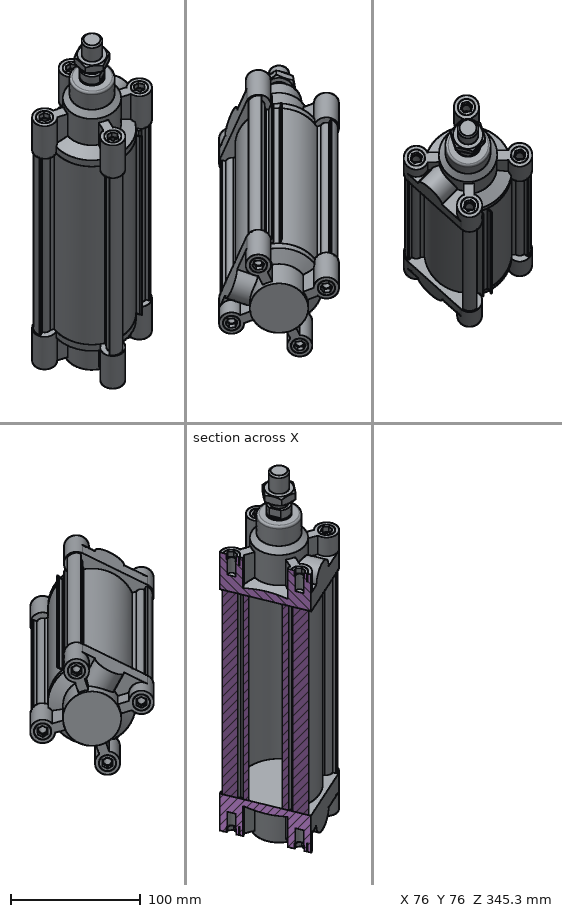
import cadquery as cq
import math

tip_z = 345.3
rear_screw_face_z = 3.9
front_screw_face_z = 275.2
corner_length = 36.4
nut_bottom_z = 319.8
shoulder_z = 313.7
front_hub_shoulder_z = 280.0
collar_top_z = 304.0

overall_width = 76.0
corner_diameter = 19.5
corner_offset = (overall_width - corner_diameter) / 2
screw_head_diameter = 13.0
screw_recess_diameter = 13.5
screw_recess_depth = 8.0
socket_across_flats = 8.0
socket_depth = 5.0
screw_bore_diameter = 6.75
screw_bore_depth = 20.0

hub_diameter = 45.0
collar_diameter = 35.0
collar_rounding = 2.0
flange_diameter = 68.0
flange_rim_height = 7.0
flange_cone_rise = 4.75
rib_width = 8.0
port_boss_diameter = 25.5
port_boss_offset = 4.5

bore_diameter = 63.0
post_diameter = 10.0
post_lip_radius = 8.75
post_lip_chamfer = 1.0

lower_lip_y = 11.6
lip_thickness = 0.6
hook_tip_x = -36.8
hook_length = 1.2
hook_height = 1.2
upper_lip_y = 17.0
upper_lip_top_y = 19.4
upper_bevel_x = -32.0
upper_tip_x = -33.8

rod_diameter = 20.0
rod_end_diameter = 19.5
rod_step_z = 304.6
rod_step_length = 0.5
rod_across_flats = 17.0
rod_flat_length = 7.5
thread_diameter = 16.0
thread_chamfer = 1.5
undercut_diameter = 14.5
undercut_length = 3.2
nut_across_flats = 24.0
nut_face_diameter = 23.0
nut_height = 8.7
nut_chamfer_angle = 30.0

barrel_bottom_z = rear_screw_face_z + corner_length
barrel_top_z = front_screw_face_z - corner_length
barrel_length = barrel_top_z - barrel_bottom_z
rear_hub_length = barrel_bottom_z
front_hub_length = front_hub_shoulder_z - barrel_top_z
corners = [(sx * corner_offset, sy * corner_offset) for sx in (-1, 1) for sy in (-1, 1)]


def cylinder(diameter, height, bottom=0.0):
    return cq.Workplane("XY").workplane(offset=bottom).circle(diameter / 2).extrude(height)


def radial_webs(width, height):
    """Two crossed diagonal bars that reach the four corner centres."""
    span = 2 * corner_offset * math.sqrt(2)
    bar = cq.Workplane("XY").rect(span, width).extrude(height)
    webs = bar.rotate((0, 0, 0), (0, 0, 1), 45)
    return webs.union(bar.rotate((0, 0, 0), (0, 0, 1), -45))


def screw_cut():
    """Gap around a cap screw head, its hexagon socket and its bore, with the head face at Z = 0."""
    gap = (
        cq.Workplane("XY")
        .circle(screw_recess_diameter / 2)
        .circle(screw_head_diameter / 2)
        .extrude(-screw_recess_depth)
    )
    socket_corners = socket_across_flats / math.cos(math.pi / 6)
    socket = cq.Workplane("XY").polygon(6, socket_corners).extrude(-socket_depth)
    bore = cq.Workplane("XY").circle(screw_bore_diameter / 2).extrude(-screw_bore_depth)
    return gap.union(socket).union(bore)


def end_cap(hub_length):
    """Cap with its barrel face at Z = 0 and its hub pointing up."""
    flange_radius = flange_diameter / 2
    hub_radius = hub_diameter / 2
    body = (
        cq.Workplane("XZ")
        .polyline(
            [
                (0, 0),
                (flange_radius, 0),
                (flange_radius, flange_rim_height),
                (hub_radius, flange_rim_height + flange_cone_rise),
                (hub_radius, hub_length),
                (0, hub_length),
            ]
        )
        .close()
        .revolve()
    )
    columns = cq.Workplane("XY").pushPoints(corners).circle(corner_diameter / 2).extrude(corner_length)
    port_pad = (
        cq.Workplane("XY")
        .polyline(
            [
                (0, 0),
                (corner_offset, corner_offset),
                (corner_offset, overall_width / 2),
                (-corner_offset, overall_width / 2),
                (-corner_offset, corner_offset),
            ]
        )
        .close()
        .extrude(corner_length / 2)
    )
    port_boss = (
        cq.Workplane("XZ")
        .center(port_boss_offset, corner_length / 2)
        .circle(port_boss_diameter / 2)
        .extrude(-overall_width / 2)
    )
    cap = body.union(radial_webs(rib_width, corner_length)).union(columns)
    cap = cap.union(port_pad).union(port_boss)
    for x, y in corners:
        cap = cap.cut(screw_cut().translate((x, y, corner_length)))
    return cap


rear_cap = end_cap(rear_hub_length).mirror("XY").translate((0, 0, barrel_bottom_z))


def front_neck():
    """Collar above the front hub, with a 45 degree cone between the two."""
    collar_radius = collar_diameter / 2
    hub_radius = hub_diameter / 2
    neck = (
        cq.Workplane("XZ")
        .polyline(
            [
                (0, front_hub_shoulder_z),
                (hub_radius, front_hub_shoulder_z),
                (collar_radius, front_hub_shoulder_z + hub_radius - collar_radius),
                (collar_radius, collar_top_z),
                (0, collar_top_z),
            ]
        )
        .close()
        .revolve()
    )
    return neck.faces(">Z").edges().fillet(collar_rounding)


front_cap = (
    end_cap(front_hub_length)
    .translate((0, 0, barrel_top_z))
    .union(front_neck())
    .cut(cylinder(rod_diameter, collar_top_z - barrel_top_z, barrel_top_z))
)


def corner_post():
    """Post around the corner centre, with an outer lip over the quarter that faces (-X, -Y)."""
    reach = post_lip_radius * math.cos(math.pi / 4)
    lip = (
        cq.Workplane("XY")
        .moveTo(0, 0)
        .lineTo(-post_lip_radius, 0)
        .threePointArc((-reach, -reach), (0, -post_lip_radius))
        .close()
        .extrude(barrel_length)
        .edges("|Z and (<X or <Y)")
        .chamfer(post_lip_chamfer)
    )
    return cylinder(post_diameter, barrel_length).union(lip)


def sensor_rail():
    """Two lips on the -X side of the barrel that border a sensor slot open to -X."""
    root_x = -bore_diameter / 2
    lower_top_y = lower_lip_y + lip_thickness
    hook_top_y = lower_lip_y + hook_height
    hook_inner_x = hook_tip_x + hook_length
    lower_lip = [
        (root_x, lower_lip_y),
        (hook_inner_x, lower_lip_y),
        (hook_tip_x, lower_lip_y + lip_thickness / 2),
        (hook_tip_x, hook_top_y),
        (hook_inner_x, hook_top_y),
        (hook_inner_x + hook_height - lip_thickness, lower_top_y),
        (root_x, lower_top_y),
    ]
    upper_root_x = -math.sqrt((bore_diameter / 2) ** 2 - upper_lip_y**2)
    upper_lip = [
        (upper_root_x, upper_lip_y),
        (upper_bevel_x, upper_lip_y),
        (upper_tip_x, upper_lip_y + (upper_bevel_x - upper_tip_x) / 2),
        (upper_tip_x, upper_lip_top_y),
        (upper_root_x, upper_lip_top_y),
    ]
    lower = cq.Workplane("XY").polyline(lower_lip).close().extrude(barrel_length)
    upper = cq.Workplane("XY").polyline(upper_lip).close().extrude(barrel_length)
    return lower.union(upper)


barrel = cylinder(flange_diameter, barrel_length).union(radial_webs(rib_width, barrel_length))
for quarter in range(4):
    post = corner_post().translate((-corner_offset, -corner_offset, 0))
    barrel = barrel.union(post.rotate((0, 0, 0), (0, 0, 1), 90 * quarter))
barrel = barrel.union(sensor_rail()).union(sensor_rail().mirror("YZ"))
barrel = barrel.cut(cylinder(bore_diameter, barrel_length)).translate((0, 0, barrel_bottom_z))


flats_bottom_z = shoulder_z - rod_flat_length
rod_body = (
    cq.Workplane("XZ")
    .polyline(
        [
            (0, barrel_top_z),
            (rod_diameter / 2, barrel_top_z),
            (rod_diameter / 2, rod_step_z),
            (rod_end_diameter / 2, rod_step_z + rod_step_length),
            (rod_end_diameter / 2, shoulder_z),
            (0, shoulder_z),
        ]
    )
    .close()
    .revolve()
)
flats = (
    cq.Workplane("XY")
    .workplane(offset=flats_bottom_z)
    .rect(2 * rod_diameter, 2 * rod_diameter)
    .extrude(rod_flat_length)
    .cut(
        cq.Workplane("XY")
        .workplane(offset=flats_bottom_z)
        .rect(rod_across_flats, 2 * rod_diameter)
        .extrude(rod_flat_length)
    )
)
thread_bottom_z = shoulder_z + undercut_length
thread = cylinder(thread_diameter, tip_z - thread_bottom_z, thread_bottom_z).faces(">Z").chamfer(thread_chamfer)
rod = rod_body.cut(flats).union(cylinder(undercut_diameter, undercut_length, shoulder_z)).union(thread)


nut_corner_radius = nut_across_flats / 2 / math.cos(math.pi / 6)
nut_blank = (
    cq.Workplane("XY")
    .polygon(6, 2 * nut_corner_radius)
    .extrude(nut_height)
    .rotate((0, 0, 0), (0, 0, 1), 90)
)
nut_face_radius = nut_face_diameter / 2
nut_chamfer_rise = (nut_corner_radius - nut_face_radius) * math.tan(math.radians(nut_chamfer_angle))
nut_envelope = (
    cq.Workplane("XZ")
    .polyline(
        [
            (0, 0),
            (nut_face_radius, 0),
            (nut_corner_radius, nut_chamfer_rise),
            (nut_corner_radius, nut_height - nut_chamfer_rise),
            (nut_face_radius, nut_height),
            (0, nut_height),
        ]
    )
    .close()
    .revolve()
)
nut = (
    nut_blank.intersect(nut_envelope)
    .cut(cylinder(thread_diameter, nut_height))
    .translate((0, 0, nut_bottom_z))
)

result = cq.Compound.makeCompound([rear_cap.val(), front_cap.val(), barrel.val(), rod.val(), nut.val()])